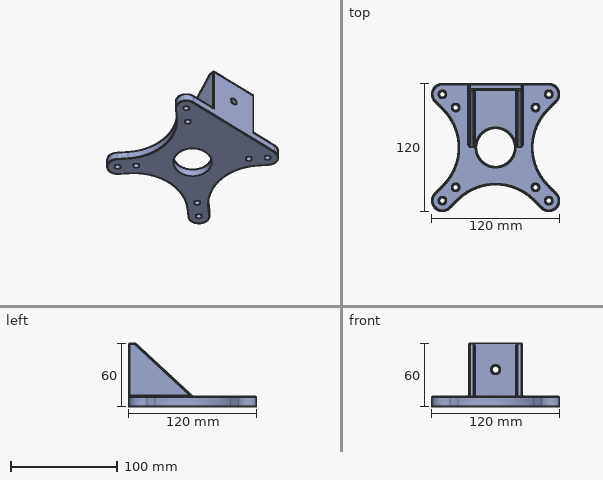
import cadquery as cq
import math

plate_size = 120.0
total_height = 60.0
edge_break = 1.0

plate_thickness = 10.0
outer_hole_spacing = 99.9
inner_hole_spacing = 75.0
mount_hole_diameter = 5.6
center_hole_diameter = 36.0
side_arc_radius = 50.0
bottom_break = 0.5

bracket_width = 50.0
wall_thickness = 6.0
rib_thickness = 5.0
top_depth = 6.0
bracket_hole_diameter = 7.0
bracket_hole_height = 35.0

half_size = plate_size / 2
corner_offset = outer_hole_spacing / 2
corner_radius = half_size - corner_offset
half_bracket = bracket_width / 2
root_height = plate_thickness / 2
wall_front = half_size - wall_thickness


def plate_outline():
    """Plan outline, with each concave arc tangent to the 45 degree flanks of two corners."""
    diagonal = math.sqrt(0.5)
    flank_near = corner_offset - corner_radius * diagonal
    flank_far = corner_offset + corner_radius * diagonal
    arc_end = side_arc_radius * diagonal
    arc_end_far = arc_end + flank_far - flank_near
    arc_middle = arc_end_far + arc_end - side_arc_radius
    back_bend_angle = math.pi / 8
    return (
        cq.Workplane("XY")
        .moveTo(-corner_offset, half_size)
        .lineTo(corner_offset, half_size)
        .threePointArc((flank_far, flank_far), (half_size, corner_offset))
        .threePointArc(
            (
                corner_offset + corner_radius * math.cos(back_bend_angle),
                corner_offset - corner_radius * math.sin(back_bend_angle),
            ),
            (flank_far, flank_near),
        )
        .lineTo(arc_end_far, arc_end)
        .threePointArc((arc_middle, 0), (arc_end_far, -arc_end))
        .lineTo(flank_far, -flank_near)
        .threePointArc((flank_far, -flank_far), (flank_near, -flank_far))
        .lineTo(arc_end, -arc_end_far)
        .threePointArc((0, -arc_middle), (-arc_end, -arc_end_far))
        .lineTo(-flank_near, -flank_far)
        .threePointArc((-flank_far, -flank_far), (-flank_far, -flank_near))
        .lineTo(-arc_end_far, -arc_end)
        .threePointArc((-arc_middle, 0), (-arc_end_far, arc_end))
        .lineTo(-flank_far, flank_near)
        .threePointArc((-flank_far, flank_far), (-corner_offset, half_size))
        .close()
    )


def make_plate():
    plate = plate_outline().extrude(plate_thickness)
    plate = plate.faces(">Z").chamfer(edge_break)
    return plate.faces("<Z").chamfer(bottom_break)


def bracket_envelope(width):
    """Side silhouette of the bracket across a width, beveled along its edges.

    The end bevels are wide enough to run on past the rib faces and trim the corner fills.
    """
    profile = [
        (half_size, root_height),
        (half_size, total_height),
        (half_size - top_depth, total_height),
        (0, plate_thickness),
        (0, root_height),
    ]
    silhouette = cq.Workplane("YZ").polyline(profile).close().extrude(width / 2, both=True)
    ends_beveled = silhouette.faces("<X or >X").edges("not <Z").chamfer(2 * edge_break)
    top_beveled = silhouette.faces(">Z").edges("|X").chamfer(edge_break)
    return ends_beveled.intersect(top_beveled)


def make_wall():
    """Upright back wall across the full bracket width."""
    wall = (
        cq.Workplane("XY")
        .box(bracket_width, wall_thickness, total_height, centered=(True, False, False))
        .translate((0, wall_front, 0))
    )
    return wall.intersect(bracket_envelope(bracket_width + 2 * edge_break))


def make_right_rib():
    """Triangular rib with 45 degree fills along its foot and in its corner with the wall."""
    half_rib = rib_thickness / 2
    half_foot = half_rib + edge_break
    section = [
        (-half_rib, root_height),
        (half_rib, root_height),
        (half_rib, plate_thickness),
        (half_foot, plate_thickness),
        (half_rib, plate_thickness + edge_break),
        (half_rib, total_height),
        (-half_rib, total_height),
        (-half_rib, plate_thickness + edge_break),
        (-half_foot, plate_thickness),
        (-half_rib, plate_thickness),
    ]
    web = cq.Workplane("XZ").polyline(section).close().extrude(-half_size)
    corner = [
        (-half_rib, wall_front),
        (-half_foot, wall_front),
        (-half_rib, wall_front - edge_break),
    ]
    corner_fill = (
        cq.Workplane("XY")
        .workplane(offset=plate_thickness)
        .polyline(corner)
        .close()
        .extrude(total_height - plate_thickness)
    )
    rib = web.union(corner_fill).intersect(bracket_envelope(2 * half_foot))
    return rib.translate((half_bracket - half_rib, 0, 0))


def beveled_drill(diameter, depth):
    """Drill pointing down from the origin, widened by a bevel at its mouth."""
    radius = diameter / 2
    half_section = [
        (0, 0),
        (radius + edge_break, 0),
        (radius, -edge_break),
        (radius, -depth),
        (0, -depth),
    ]
    return cq.Workplane("XZ").polyline(half_section).close().revolve(360, (0, 0), (0, 1))


right_rib = make_right_rib()
left_rib = right_rib.mirror("YZ")
result = make_plate().union(make_wall()).union(right_rib).union(left_rib)

center_drill = beveled_drill(center_hole_diameter, plate_thickness)
result = result.cut(center_drill.translate((0, 0, plate_thickness)))

mount_drill = beveled_drill(mount_hole_diameter, plate_thickness)
for spacing in (outer_hole_spacing, inner_hole_spacing):
    for x in (-spacing / 2, spacing / 2):
        for y in (-spacing / 2, spacing / 2):
            result = result.cut(mount_drill.translate((x, y, plate_thickness)))

wall_drill = beveled_drill(bracket_hole_diameter, wall_thickness).rotate((0, 0, 0), (1, 0, 0), 90)
result = result.cut(wall_drill.translate((0, wall_front, bracket_hole_height)))